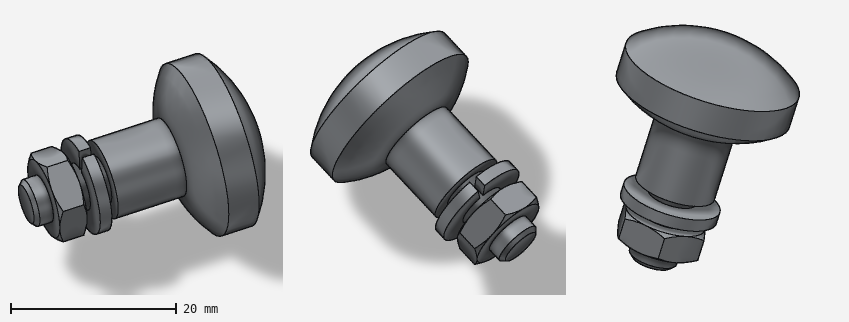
import cadquery as cq
import math


head_radius = 22.0 / 2
neck_radius = 10.0 / 2
shank_radius = 3.0
tip_chamfer = 0.55
shank_length = 10.0
neck_length = 9.0
underside_height = 3.0
rim_height = 4.0
dome_height = 4.02
underside_bulge = 0.4

washer_radius = 6.1
washer_thickness = 1.53
washer_gap = 1.3
slit_angle = 10.0

nut_across_flats = 10.0
nut_thickness = 3.6
nut_gap = 4.08
nut_chamfer_angle = 30.0
hex_half_angle = 30.0

underside_y = neck_length
rim_bottom_y = underside_y + underside_height
rim_top_y = rim_bottom_y + rim_height
dome_top_y = rim_top_y + dome_height


def revolve_about_y(profile):
    return profile.close().revolve(360, (0, 0, 0), (0, 1, 0))


def cylinder(radius, y_start, length):
    return cq.Workplane("XZ", origin=(0, y_start, 0)).circle(radius).extrude(-length)


def make_knob():
    dome_radius = (head_radius**2 + dome_height**2) / (2 * dome_height)
    half_angle = math.asin(head_radius / dome_radius) / 2
    dome_mid = (
        dome_radius * math.sin(half_angle),
        dome_top_y - dome_radius * (1 - math.cos(half_angle)),
    )
    profile = (
        cq.Workplane("XY")
        .moveTo(0, -shank_length)
        .lineTo(shank_radius - tip_chamfer, -shank_length)
        .lineTo(shank_radius, -shank_length + tip_chamfer)
        .lineTo(shank_radius, 0)
        .lineTo(neck_radius, 0)
        .lineTo(neck_radius, underside_y)
        .sagittaArc((head_radius, rim_bottom_y), -underside_bulge)
        .lineTo(head_radius, rim_top_y)
        .threePointArc(dome_mid, (0, dome_top_y))
    )
    return revolve_about_y(profile)


def make_washer():
    bottom_y = -washer_gap - washer_thickness
    ring = cylinder(washer_radius, bottom_y, washer_thickness)
    ring = ring.cut(cylinder(shank_radius, bottom_y, washer_thickness))
    wedge_height = washer_radius + washer_thickness
    wedge_half_width = wedge_height * math.tan(math.radians(slit_angle / 2))
    slit = (
        cq.Workplane("XZ", origin=(0, bottom_y, 0))
        .polyline([(0, 0), (wedge_half_width, wedge_height), (-wedge_half_width, wedge_height)])
        .close()
        .extrude(-washer_thickness)
    )
    return ring.cut(slit)


def make_nut():
    bottom_y = -nut_gap - nut_thickness
    top_y = -nut_gap
    flat_radius = nut_across_flats / 2
    corner_radius = flat_radius / math.cos(math.radians(hex_half_angle))
    chamfer_depth = (corner_radius - flat_radius) * math.tan(math.radians(nut_chamfer_angle))
    hexagon = (
        cq.Workplane("XZ", origin=(0, bottom_y, 0))
        .transformed(rotate=(0, 0, hex_half_angle))
        .polygon(6, 2 * corner_radius)
        .extrude(-nut_thickness)
    )
    corner_envelope = revolve_about_y(
        cq.Workplane("XY")
        .moveTo(0, bottom_y)
        .lineTo(flat_radius, bottom_y)
        .lineTo(corner_radius, bottom_y + chamfer_depth)
        .lineTo(corner_radius, top_y - chamfer_depth)
        .lineTo(flat_radius, top_y)
        .lineTo(0, top_y)
    )
    bore = cylinder(shank_radius, bottom_y, nut_thickness)
    return hexagon.intersect(corner_envelope).cut(bore)


knob = make_knob()
washer = make_washer()
nut = make_nut()

result = cq.Compound.makeCompound([knob.val(), washer.val(), nut.val()])